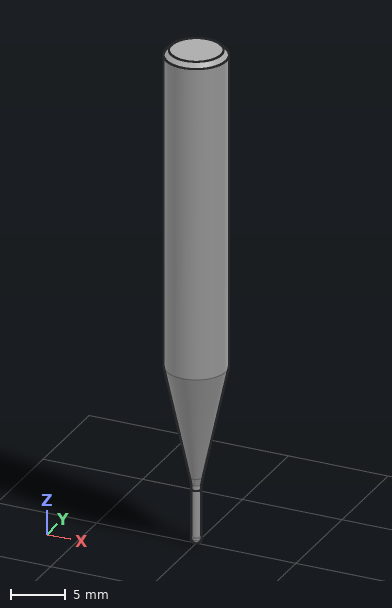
import cadquery as cq

overall_length = 50.0
shank_diameter = 6.0
shank_chamfer = 0.5
cone_top_height = 18.0
cone_bottom_height = 6.75
cone_bottom_diameter = 1.24
neck_top_height = 6.0
neck_diameter = 0.95
head_diameter = 1.0
head_length = 0.7
neck_relief_height = 0.1
joint_height = 5.5

shank_radius = shank_diameter / 2
cone_bottom_radius = cone_bottom_diameter / 2
neck_radius = neck_diameter / 2
head_radius = head_diameter / 2


def revolve_about_z(profile):
    """Turn a closed half-profile, drawn as (radius, height), around the Z axis."""
    return profile.close().revolve(360, (0, 0, 0), (0, 1, 0))


def make_shank():
    """Chamfered shank, long cone, lead-in cone and the upper end of the neck."""
    return revolve_about_z(
        cq.Workplane("XZ")
        .moveTo(0, joint_height)
        .lineTo(neck_radius, joint_height)
        .lineTo(neck_radius, neck_top_height)
        .lineTo(cone_bottom_radius, cone_bottom_height)
        .lineTo(shank_radius, cone_top_height)
        .lineTo(shank_radius, overall_length - shank_chamfer)
        .lineTo(shank_radius - shank_chamfer, overall_length)
        .lineTo(0, overall_length)
    )


def make_cutting_tip():
    """Straight neck carrying a slightly wider ball-nosed head."""
    ball_middle = (head_radius * 0.5 ** 0.5, head_radius * (1 - 0.5 ** 0.5))
    return revolve_about_z(
        cq.Workplane("XZ")
        .moveTo(0, 0)
        .threePointArc(ball_middle, (head_radius, head_radius))
        .lineTo(head_radius, head_length)
        .lineTo(neck_radius, head_length + neck_relief_height)
        .lineTo(neck_radius, joint_height)
        .lineTo(0, joint_height)
    )


shank = make_shank()
cutting_tip = make_cutting_tip()

result = cq.Compound.makeCompound([shank.val(), cutting_tip.val()])